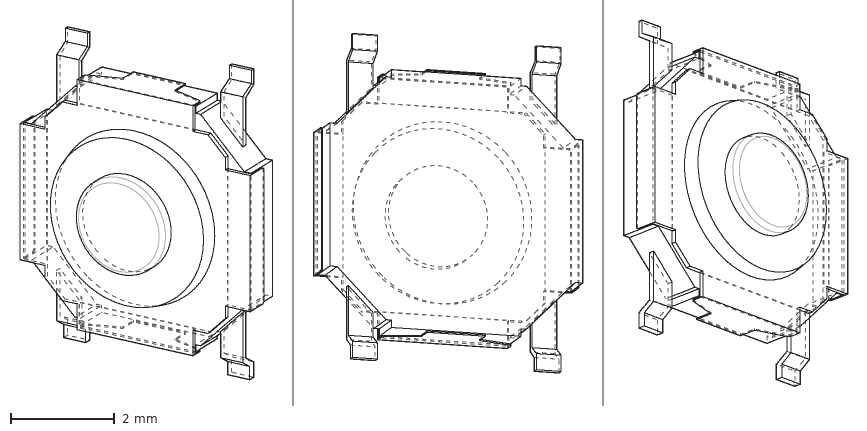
import cadquery as cq


cover_size = 5.2
cover_sheet = 0.085
flap_sheet = 0.025
arm_half_x = 1.31
arm_half_z = 1.415
center_half_x = 2.04
center_half_z = 2.065
center_corner_cut = 0.39
flap_reach = 0.51
taper_start = 0.29
tongue_half = 0.59
flap_corner_radius = 0.065

body_depth = 0.91
gap = 0.0225
housing_half = cover_size / 2 - flap_sheet - gap
housing_front = cover_sheet + gap
corner_half = 2.405
corner_cut = 0.99

cone_base_radius = 1.8
cone_top_radius = 1.73
cone_height = 0.3
button_diameter = 2.0
button_height = 0.3
button_edge_radius = 0.09

lead_center_x = 1.85
lead_width = 0.5
lead_end_z = 3.205
lead_root_z = 1.54
stem_front = 0.545
stem_back = 0.66
foot_overhang = 0.045
foot_back = body_depth + foot_overhang
top_foot_thickness = 0.09
bottom_foot_thickness = 0.155
bend_front_start = 2.76
bend_front_end = 2.93
bend_back_start = 2.705
bend_back_end = 2.885


def block(half_x, half_z, front, back):
    """Box centered on the Y axis between two depths."""
    return cq.Workplane("XY").box(2 * half_x, back - front, 2 * half_z).translate((0, (front + back) / 2, 0))


def cut_corner_block(half_x, half_z, cut, front, back):
    """Centered block with its four corners cut at 45 degrees."""
    return block(half_x, half_z, front, back).edges("|Y").chamfer(cut)


def cross(half_reach, front, back):
    """Four arms that reach to both sides in X and in Z."""
    upright = block(arm_half_x, half_reach, front, back)
    return upright.union(block(half_reach, arm_half_z, front, back))


def make_housing():
    corners = cut_corner_block(corner_half, corner_half, corner_cut, housing_front, body_depth)
    return cross(housing_half, housing_front, body_depth).union(corners)


def make_cover():
    plate = cross(cover_size / 2, 0, cover_sheet)
    center = cut_corner_block(center_half_x, center_half_z, center_corner_cut, 0, housing_front)
    return plate.union(center)


def make_side_flap():
    """Flap on the +X side, with its two free corners rounded."""
    flap = (
        cq.Workplane("XY")
        .box(flap_sheet, flap_reach, 2 * arm_half_z)
        .translate(((cover_size - flap_sheet) / 2, flap_reach / 2, 0))
    )
    return flap.edges(">Y and |X").fillet(flap_corner_radius)


def make_end_flap():
    """Flap on the +Z side that tapers to a tongue reaching the housing back."""
    outline = [
        (-arm_half_x, 0),
        (arm_half_x, 0),
        (arm_half_x, taper_start),
        (tongue_half, flap_reach),
        (tongue_half, body_depth),
        (-tongue_half, body_depth),
        (-tongue_half, flap_reach),
        (-arm_half_x, taper_start),
    ]
    flap = (
        cq.Workplane("XY")
        .workplane(offset=cover_size / 2 - flap_sheet)
        .polyline(outline)
        .close()
        .extrude(flap_sheet)
    )
    return flap.edges("|Z").edges(">>Y[1]").fillet(flap_corner_radius)


def make_button():
    cone = (
        cq.Workplane("XZ")
        .circle(cone_base_radius)
        .workplane(offset=cone_height)
        .circle(cone_top_radius)
        .loft()
    )
    button = (
        cq.Workplane("XZ")
        .workplane(offset=cone_height)
        .circle(button_diameter / 2)
        .extrude(button_height)
        .faces("<Y")
        .edges()
        .fillet(button_edge_radius)
    )
    return cone.union(button)


def make_lead(x, side, foot_thickness):
    """Stepped lead at the given X; side is 1 for +Z and -1 for -Z."""
    profile = [
        (stem_front, lead_root_z),
        (stem_front, bend_front_start),
        (foot_back - foot_thickness, bend_front_end),
        (foot_back - foot_thickness, lead_end_z),
        (foot_back, lead_end_z),
        (foot_back, bend_back_end),
        (stem_back, bend_back_start),
        (stem_back, lead_root_z),
    ]
    return (
        cq.Workplane("YZ")
        .workplane(offset=x - lead_width / 2)
        .polyline([(y, side * z) for y, z in profile])
        .close()
        .extrude(lead_width)
    )


side_flap = make_side_flap()
end_flap = make_end_flap()
result = make_housing().union(make_cover()).union(make_button())
for flap, mirror_plane in ((side_flap, "YZ"), (end_flap, "XY")):
    result = result.union(flap).union(flap.mirror(mirror_plane))
for x in (-lead_center_x, lead_center_x):
    result = result.union(make_lead(x, 1, top_foot_thickness))
    result = result.union(make_lead(x, -1, bottom_foot_thickness))